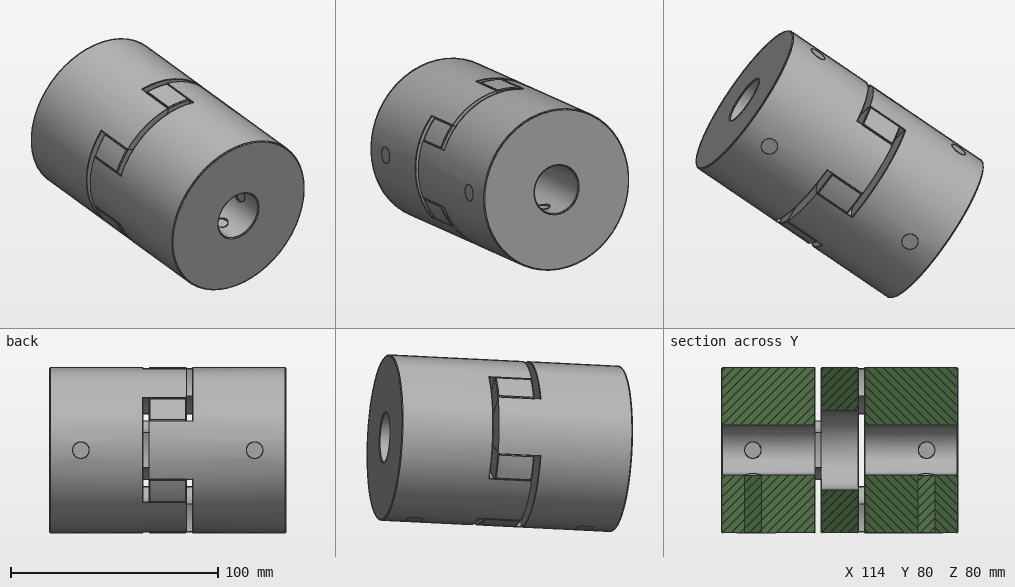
import cadquery as cq
import math

length = 114.0
outer_radius = 40.0
cutting_overshoot = 3.4
overshoot_radius = outer_radius + cutting_overshoot
hub_length = 45.0
spider_width = 18.0
hub_face_x = -(length / 2 - hub_length)
jaw_tip_x = spider_width / 2

bore_radius = 12.0
end_chamfer = 0.5

jaw_count = 3
jaw_pitch = 360 / jaw_count
jaw_inner_radius = 26.6
jaw_outer_half_angle = 21.0
jaw_inner_half_angle = 18.6
jaw_side_hollow = 1.1
jaw_chamfer = 0.2

spider_bore_radius = 19.0
leg_chamfer = 0.5

screw_radius = 4.0
screw_end_distance = 15.0
screw_inner_inset = 0.2
screw_outer_inset = 0.1
screw_inner_end = bore_radius + screw_inner_inset
screw_outer_end = outer_radius - screw_outer_inset
screw_x = screw_end_distance - length / 2
screw_directions = [cq.Vector(0, 1, 0), cq.Vector(0, 0, -1)]


def polar(radius, degrees):
    """Point in the YZ plane, with the angle measured from +Y toward +Z."""
    angle = math.radians(degrees)
    return radius * math.cos(angle), radius * math.sin(angle)


def hollow_midpoint(inner, outer):
    """Deepest point of the hollow flank that joins an inner to an outer corner above the Y axis."""
    run = outer[0] - inner[0]
    rise = outer[1] - inner[1]
    chord = math.hypot(run, rise)
    middle_y = (inner[0] + outer[0]) / 2
    middle_z = (inner[1] + outer[1]) / 2
    return middle_y + jaw_side_hollow * rise / chord, middle_z - jaw_side_hollow * run / chord


def mirrored(point):
    """The point on the other side of the Y axis."""
    return point[0], -point[1]


def make_jaw_space(start_x, end_x, angle):
    """Ring sector with hollow flanks, centred on the given angle, that reaches past the outside."""
    inner = polar(jaw_inner_radius, jaw_inner_half_angle)
    outer = polar(outer_radius, jaw_outer_half_angle)
    beyond = polar(overshoot_radius, jaw_outer_half_angle)
    flank = hollow_midpoint(inner, outer)
    return (
        cq.Workplane("YZ", origin=(start_x, 0, 0))
        .moveTo(*inner)
        .threePointArc(flank, outer)
        .lineTo(*beyond)
        .threePointArc((overshoot_radius, 0), mirrored(beyond))
        .lineTo(*mirrored(outer))
        .threePointArc(mirrored(flank), mirrored(inner))
        .threePointArc((jaw_inner_radius, 0), inner)
        .close()
        .extrude(end_x - start_x)
        .rotate((0, 0, 0), (1, 0, 0), angle)
    )


def make_screw_rod(direction, start, end):
    """Round rod that points away from the coupling axis, between two distances from it."""
    base = cq.Vector(screw_x, 0, 0) + direction * start
    return cq.Workplane(cq.Solid.makeCylinder(screw_radius, end - start, base, direction))


def is_jaw_outline(edge):
    """True for the outer edges of the jaws and of the hub face between them, but not of the jaw tips."""
    middle = edge.positionAt(0.5)
    on_outside = math.hypot(middle.y, middle.z) > outer_radius - jaw_chamfer
    return on_outside and hub_face_x - jaw_chamfer < middle.x < jaw_tip_x - jaw_chamfer


def make_hub(first_jaw_angle):
    """Hub at the -X end, with jaws toward +X."""
    hub = (
        cq.Workplane("YZ", origin=(-length / 2, 0, 0))
        .circle(outer_radius)
        .circle(bore_radius)
        .extrude(length / 2 + jaw_tip_x)
    )
    hub = hub.faces("<X").edges().chamfer(end_chamfer)
    clearance = (
        cq.Workplane("YZ", origin=(hub_face_x, 0, 0))
        .circle(overshoot_radius)
        .extrude(jaw_tip_x - hub_face_x)
    )
    for index in range(jaw_count):
        angle = first_jaw_angle + index * jaw_pitch
        clearance = clearance.cut(make_jaw_space(hub_face_x, jaw_tip_x, angle))
    hub = hub.cut(clearance)
    outline = hub.edges().filter(is_jaw_outline)
    hub = hub.newObject(outline.vals()).chamfer(jaw_chamfer)
    for direction in screw_directions:
        hub = hub.cut(make_screw_rod(direction, 0, overshoot_radius))
    return hub


def make_set_screws():
    """Set screws of the hub at the -X end."""
    return [make_screw_rod(direction, screw_inner_end, screw_outer_end) for direction in screw_directions]


def is_leg_outside(face):
    """True for the faces of the legs that lie on the outside of the coupling."""
    return face.Center().Length > outer_radius - leg_chamfer


def make_spider():
    """Ring with one leg in each space between neighbouring jaws of the two hubs."""
    spider = (
        cq.Workplane("YZ", origin=(-jaw_tip_x, 0, 0))
        .circle(outer_radius)
        .circle(spider_bore_radius)
        .extrude(spider_width)
    )
    for index in range(2 * jaw_count):
        spider = spider.cut(make_jaw_space(-jaw_tip_x, jaw_tip_x, index * jaw_pitch / 2))
    return spider.faces().filter(is_leg_outside).edges().chamfer(leg_chamfer)


hub_left = make_hub(0)
hub_right = make_hub(jaw_pitch / 2).mirror("YZ")
spider = make_spider()
screws_left = make_set_screws()
screws_right = [screw.mirror("YZ") for screw in screws_left]

bodies = [hub_left, hub_right, spider, *screws_left, *screws_right]
result = cq.Compound.makeCompound([body.val() for body in bodies])